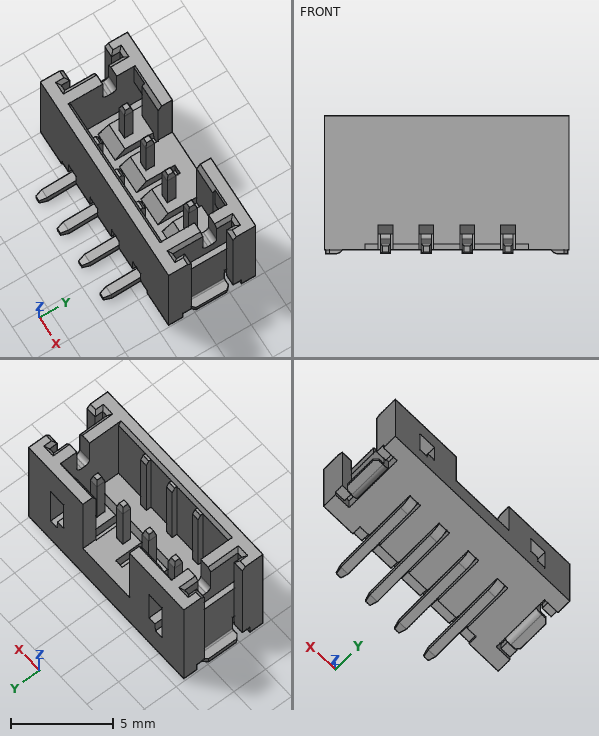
import cadquery as cq
import math


length = 11.95
depth = 5.0
height = 6.56
half_length = length / 2

cavity_half = 4.28
cavity_front = 0.7
cavity_back = 4.18
floor_z = 1.75
front_lead_in = 0.15
back_lead_in = 0.2
lead_in_slope = math.tan(math.radians(60))
rib_width = 0.43
rib_reach = 0.3

notch_half = 1.79
recess_inner = 3.3
recess_back = 4.31
window_top = 4.55

pin_count = 4
pitch = 2.0
pin_width = 0.5
pin_top = 5.63
pin_y = 3.08
leg_tip_y = -2.0
leg_angle = 3.0
leg_root_z = 0.31
tip_length = 0.41
tip_width = 0.3
bend_radius = 0.3
block_front = 1.96
block_rise = 0.6
block_half_base = 0.8
block_half_top = 0.75
block_top = floor_z + block_rise

leg_gap_width = 0.72
leg_gap_front_z = 1.22
leg_gap_z = 0.78
channel_half = 3.98
channel_depth = 0.5
channel_z = 0.3

slot_inner = 5.04
slot_outer = 5.35
slot_front = 0.82
slot_back = 4.17
lip_front = 1.3
lip_back = 3.69
slot_chamfer = 0.2
lip_foot_z = 0.47
u_front = 2.53
u_back = 3.33
u_bottom = 4.66
u_radius = 0.3

tab_thickness = slot_outer - slot_inner
tab_top = 3.9
tab_shoulder_z = 1.22
tab_foot_width = 2.17
tab_foot_end = 5.92
tab_bottom = -0.19
tab_bend_radius = 0.08
tab_corner = 0.2

over = 0.12
pin_xs = [(i - (pin_count - 1) / 2) * pitch for i in range(pin_count)]


def box(x0, x1, y0, y1, z0, z1):
    """Box between two opposite corners."""
    return cq.Workplane("XY").box(x1 - x0, y1 - y0, z1 - z0, centered=False).translate((x0, y0, z0))


def along_x(points, x0, x1):
    """Extrude a closed (y, z) outline from x0 to x1."""
    return cq.Workplane("YZ", origin=(x0, 0, 0)).polyline(points).close().extrude(x1 - x0)


def mirror_pair(shape):
    """The given +X shape together with its -X twin."""
    return shape.union(shape.mirror("YZ"))


def cavity():
    """Open-topped cavity whose front and back rims flare outwards."""
    front_drop = front_lead_in * lead_in_slope
    back_drop = back_lead_in * lead_in_slope
    outline = [
        (cavity_front, floor_z),
        (cavity_back, floor_z),
        (cavity_back, height - back_drop),
        (cavity_back + back_lead_in, height),
        (cavity_front - front_lead_in, height),
        (cavity_front, height - front_drop),
    ]
    return along_x(outline, -cavity_half, cavity_half)


def back_openings():
    """Central notch, with a recess and a window at each end of the cavity."""
    notch = box(-notch_half, notch_half, cavity_back - over, depth + over, block_top, height + over)
    recess = box(recess_inner, cavity_half, cavity_back - over, recess_back, floor_z, height)
    window = box(recess_inner, cavity_half, cavity_back - over, depth + over, floor_z, window_top)
    return notch.union(mirror_pair(recess.union(window)))


def pin_block(x):
    """Raised block around a pin, sloped in front and drafted at the sides."""
    section = [
        (x - block_half_base, floor_z),
        (x + block_half_base, floor_z),
        (x + block_half_top, block_top),
        (x - block_half_top, block_top),
    ]
    block = cq.Workplane("XZ", origin=(0, depth, 0)).polyline(section).close().extrude(depth - block_front)
    slope = [
        (block_front, floor_z),
        (block_front + block_rise, block_top),
        (block_front, block_top),
    ]
    return block.cut(along_x(slope, x - block_half_base, x + block_half_base))


def guide_rib(x):
    """Upright rib on the inside of the front wall, chamfered along its top."""
    top = height - front_lead_in * lead_in_slope
    outline = [
        (cavity_front, floor_z),
        (cavity_front + rib_reach, floor_z),
        (cavity_front + rib_reach, top - front_lead_in * lead_in_slope),
        (cavity_front + rib_reach - front_lead_in, top),
        (cavity_front, top),
    ]
    return along_x(outline, x - rib_width / 2, x + rib_width / 2)


def leg_gap(x):
    """Gap under the floor for a pin leg, with a 45 degree mouth."""
    back = pin_y + pin_width / 2
    outline = [
        (0, 0),
        (back, 0),
        (back, leg_gap_z),
        (leg_gap_front_z - leg_gap_z, leg_gap_z),
        (0, leg_gap_front_z),
    ]
    return along_x(outline, x - leg_gap_width / 2, x + leg_gap_width / 2)


def flared_slot(x0, x1, y0, y1):
    """Vertical slot through the housing with a 45 degree flare at its top rim."""
    flare = (
        cq.Workplane("XY", origin=((x0 + x1) / 2, (y0 + y1) / 2, height))
        .rect(x1 - x0 + 2 * slot_chamfer, y1 - y0 + 2 * slot_chamfer)
        .extrude(-slot_chamfer, taper=45)
    )
    return box(x0, x1, y0, y1, 0, height).union(flare)


def end_slot():
    """Slot at the +X end, its sideways opening, lip feet and U-notch to the cavity."""
    slot = flared_slot(slot_inner, slot_outer, slot_front, slot_back)
    opening = flared_slot(slot_outer, half_length + 2 * slot_chamfer, lip_front, lip_back)
    lip_feet = box(slot_inner, half_length, slot_front, slot_back, 0, lip_foot_z)
    u_notch = (
        box(cavity_half - over, slot_outer, u_front, u_back, u_bottom, height)
        .edges("|X and <Z")
        .fillet(u_radius)
    )
    return slot.union(opening).union(lip_feet).union(u_notch)


def make_housing(pins):
    """Housing with a seat for every pin."""
    body = box(-half_length, half_length, 0, depth, 0, height)
    body = body.cut(cavity()).cut(back_openings())
    for x in pin_xs:
        body = body.union(pin_block(x)).cut(leg_gap(x))
    for left, right in zip(pin_xs, pin_xs[1:]):
        body = body.union(guide_rib((left + right) / 2))
    body = body.cut(box(-channel_half, channel_half, 0, channel_depth, 0, channel_z))
    body = body.cut(mirror_pair(end_slot()))
    for pin in pins:
        body = body.cut(pin)
    return body


def tapered_tip(plane):
    """Square tip that narrows along the normal of the given plane."""
    taper = math.degrees(math.atan((pin_width - tip_width) / 2 / tip_length))
    return cq.Workplane(plane).rect(pin_width, pin_width).extrude(tip_length, taper=taper)


def make_pin(x):
    """Square pin: upright post, rounded bend and a slightly dipping leg."""
    half = pin_width / 2
    angle = math.radians(leg_angle)
    post_end = pin_top - tip_length
    leg_length = (pin_y - leg_tip_y) / math.cos(angle) - tip_length
    leg_end_y = pin_y - leg_length * math.cos(angle)
    leg_end_z = leg_root_z - leg_length * math.sin(angle)
    side_y = half * math.sin(angle)
    side_z = half * math.cos(angle)

    def leg_face_z(y, side):
        return leg_root_z + (y - pin_y) * math.tan(angle) + side * half / math.cos(angle)

    inner_corner = (pin_y - half, leg_face_z(pin_y - half, 1))
    outer_corner = (pin_y + half, leg_face_z(pin_y + half, -1))
    outline = [
        (pin_y - half, post_end),
        inner_corner,
        (leg_end_y - side_y, leg_end_z + side_z),
        (leg_end_y + side_y, leg_end_z - side_z),
        outer_corner,
        (pin_y + half, post_end),
    ]
    bent_bar = along_x(outline, x - half, x + half)
    bent_bar = bent_bar.edges(cq.NearestToPointSelector((x, *inner_corner))).fillet(bend_radius)
    bent_bar = bent_bar.edges(cq.NearestToPointSelector((x, *outer_corner))).fillet(bend_radius + pin_width)
    post_plane = cq.Plane(origin=(x, pin_y, post_end))
    leg_plane = cq.Plane(
        origin=(x, leg_end_y, leg_end_z),
        xDir=(1, 0, 0),
        normal=(0, -math.cos(angle), -math.sin(angle)),
    )
    return bent_bar.union(tapered_tip(post_plane)).union(tapered_tip(leg_plane))


def make_tab(side):
    """Solder tab: a plate in the end slot (side is +1 or -1) with a foot bent outwards."""
    middle_y = (slot_front + slot_back) / 2
    foot_top = tab_bottom + tab_thickness
    profile = [
        (slot_inner, tab_top),
        (slot_inner, tab_bottom),
        (tab_foot_end, tab_bottom),
        (tab_foot_end, foot_top),
        (slot_outer, foot_top),
        (slot_outer, tab_top),
    ]
    strip = (
        cq.Workplane("XZ", origin=(0, middle_y, 0))
        .polyline(profile)
        .close()
        .extrude(tab_foot_width / 2, both=True)
    )
    inside_bend = cq.NearestToPointSelector((slot_outer, middle_y, foot_top))
    outside_bend = cq.NearestToPointSelector((slot_inner, middle_y, tab_bottom))
    strip = strip.edges(inside_bend).fillet(tab_bend_radius)
    strip = strip.edges(outside_bend).fillet(tab_bend_radius + tab_thickness)
    strip = strip.edges("|Z and >X").chamfer(tab_corner)
    plate = box(slot_inner, slot_outer, slot_front, slot_back, tab_shoulder_z, tab_top)
    tab = strip.union(plate)
    return tab if side > 0 else tab.mirror("YZ")


pins = [make_pin(x) for x in pin_xs]
tabs = [make_tab(side) for side in (-1, 1)]
housing = make_housing(pins)

result = cq.Compound.makeCompound(
    [housing.val(), *[pin.val() for pin in pins], *[tab.val() for tab in tabs]]
)